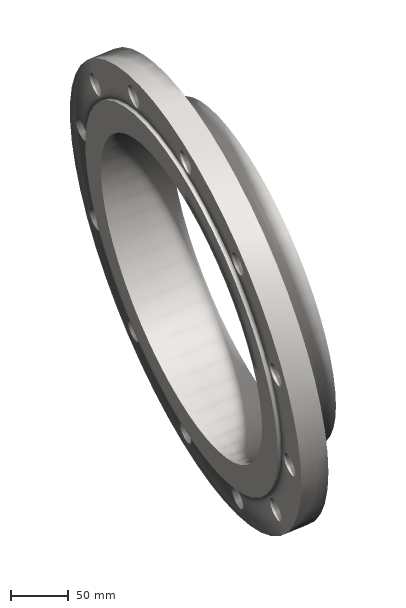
import cadquery as cq
import math

outer_diameter = 445.0
total_length = 68.0
bore_diameter = 309.5

face_diameter = 370.2
face_height = 4.0
disc_thickness = 26.3

neck_diameter = 324.0
neck_length = 16.0
hub_diameter = 341.8
hub_fillet_radius = 10.0

bolt_circle_diameter = 400.0
bolt_hole_diameter = 22.0
bolt_count = 12

face_y = -total_length / 2
disc_front_y = face_y + face_height
disc_back_y = disc_front_y + disc_thickness
neck_end_y = total_length / 2
neck_start_y = neck_end_y - neck_length


def make_body():
    """Revolve the half section, with a concave fillet where the hub meets the disc."""
    neck_radius = neck_diameter / 2
    hub_radius = hub_diameter / 2
    cone_angle = math.atan2(neck_start_y - disc_back_y, hub_radius - neck_radius)
    tangent_length = hub_fillet_radius * math.tan(cone_angle / 2)
    fillet_top = (
        hub_radius - tangent_length * math.cos(cone_angle),
        disc_back_y + tangent_length * math.sin(cone_angle),
    )
    fillet_end_radius = hub_radius + tangent_length
    fillet_middle = (
        fillet_end_radius - hub_fillet_radius * math.sin(cone_angle / 2),
        disc_back_y + hub_fillet_radius * (1 - math.cos(cone_angle / 2)),
    )
    return (
        cq.Workplane("XY")
        .moveTo(bore_diameter / 2, face_y)
        .lineTo(face_diameter / 2, face_y)
        .lineTo(face_diameter / 2, disc_front_y)
        .lineTo(outer_diameter / 2, disc_front_y)
        .lineTo(outer_diameter / 2, disc_back_y)
        .lineTo(fillet_end_radius, disc_back_y)
        .threePointArc(fillet_middle, fillet_top)
        .lineTo(neck_radius, neck_start_y)
        .lineTo(neck_radius, neck_end_y)
        .lineTo(bore_diameter / 2, neck_end_y)
        .close()
        .revolve(360, (0, 0, 0), (0, 1, 0))
    )


def make_bolt_holes():
    """Cylinders on the bolt circle, one of them on the +X axis."""
    return (
        cq.Workplane("XZ", origin=(0, neck_end_y, 0))
        .polarArray(bolt_circle_diameter / 2, 0, 360, bolt_count)
        .circle(bolt_hole_diameter / 2)
        .extrude(total_length)
    )


result = make_body().cut(make_bolt_holes())